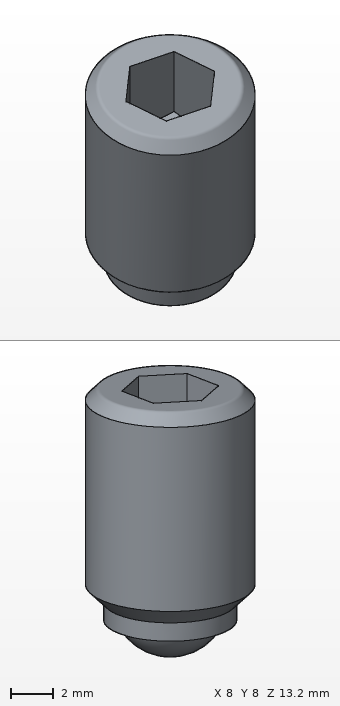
import cadquery as cq
import math

total_height = 13.2
body_radius = 4.0

ball_projection = 1.7
nose_radius = 3.14
nose_height = 0.91
cone_height = body_radius - nose_radius

top_flat_radius = 3.31
top_blend_radius = 0.26
chamfer_angle = 45.0

socket_across_flats = 4.0
socket_depth = 4.0
drill_point_angle = 120.0

ball_radius = 2.75


def make_ball():
    """Full sphere whose lowest point is at Z = 0."""
    return cq.Workplane("XY").sphere(ball_radius).translate((0, 0, ball_radius))


def make_socket():
    """Hexagon prism that ends in a cone through its corners."""
    corner_radius = socket_across_flats / math.sqrt(3)
    point_depth = corner_radius / math.tan(math.radians(drill_point_angle / 2))
    floor_z = total_height - socket_depth
    tip_z = floor_z - point_depth
    hexagon = (
        cq.Workplane("XY", origin=(0, 0, tip_z))
        .polygon(6, 2 * corner_radius)
        .extrude(total_height - tip_z)
    )
    slope = point_depth / corner_radius
    envelope = (
        cq.Workplane("XZ")
        .moveTo(0, tip_z)
        .lineTo(body_radius, tip_z + slope * body_radius)
        .lineTo(body_radius, total_height)
        .lineTo(0, total_height)
        .close()
        .revolve(360, (0, 0, 0), (0, 1, 0))
    )
    return hexagon.intersect(envelope)


def make_turned_body():
    """Revolved outside shape of the screw, without its recesses."""
    full_angle = math.radians(chamfer_angle)
    half_angle = full_angle / 2
    blend_center_z = total_height - top_blend_radius
    blend_middle = (
        top_flat_radius + top_blend_radius * math.sin(half_angle),
        blend_center_z + top_blend_radius * math.cos(half_angle),
    )
    chamfer_top_radius = top_flat_radius + top_blend_radius * math.sin(full_angle)
    chamfer_top_z = blend_center_z + top_blend_radius * math.cos(full_angle)
    chamfer_bottom_z = chamfer_top_z - (body_radius - chamfer_top_radius) * math.tan(full_angle)
    nose_top_z = ball_projection + nose_height
    return (
        cq.Workplane("XZ")
        .moveTo(0, ball_projection)
        .lineTo(nose_radius, ball_projection)
        .lineTo(nose_radius, nose_top_z)
        .lineTo(body_radius, nose_top_z + cone_height)
        .lineTo(body_radius, chamfer_bottom_z)
        .lineTo(chamfer_top_radius, chamfer_top_z)
        .threePointArc(blend_middle, (top_flat_radius, total_height))
        .lineTo(0, total_height)
        .close()
        .revolve(360, (0, 0, 0), (0, 1, 0))
    )


ball = make_ball()
screw_body = make_turned_body().cut(make_socket()).cut(ball)

result = cq.Compound.makeCompound([screw_body.solids().val(), ball.val()])